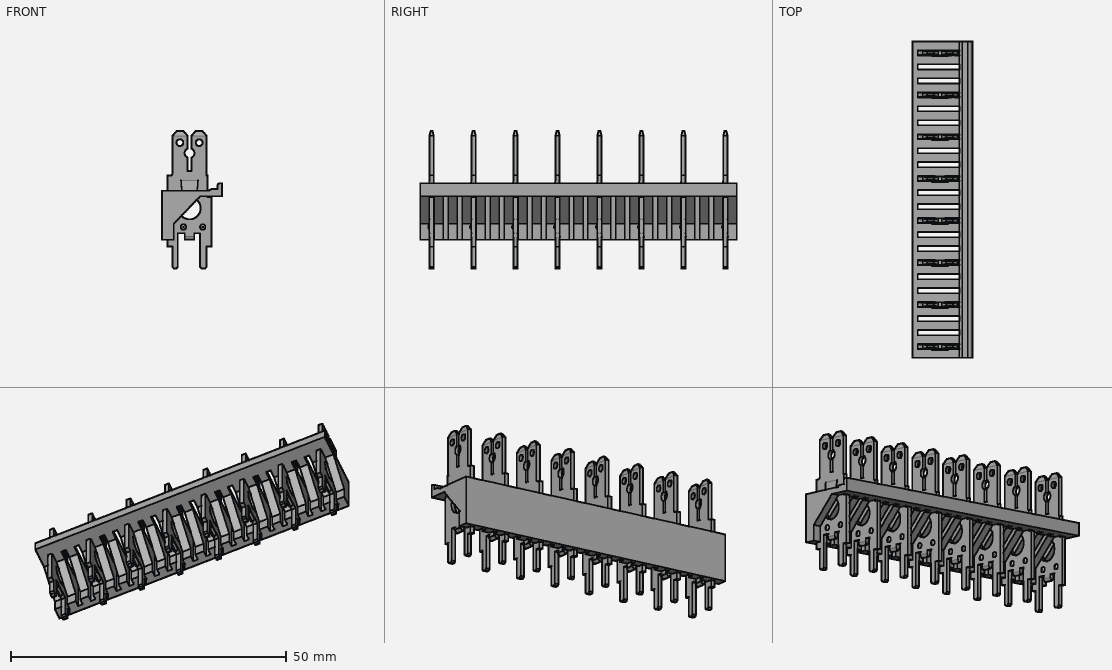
import cadquery as cq
import math


contact_count = 8
slot_pitch = 2.54
slots_per_contact = 3
contact_pitch = slots_per_contact * slot_pitch
slot_count = slots_per_contact * (contact_count - 1) + 1

housing_length = 57.46
housing_left = -5.0
housing_right = 5.9
housing_bottom = 5.2
housing_top = 14.15
back_wall = 1.0
leg_width = 2.1
leg_top = 8.1
flange_bottom = 13.1
web_right = 1.95
slot_width = 0.9
slot_left = housing_left + back_wall
slot_right = 3.5
gutter_left = 4.0
gutter_floor = 14.45
lip_left = 5.05
lip_top = 15.5
lip_radius = 0.5

contact_height = 25.0
contact_thickness = 0.8
body_half_width = 4.0
body_bottom = 4.0
body_top = 12.95
neck_right = 3.3
shoulder_top = 16.9
shoulder_fillet = 0.35
prong_half_width = 3.12
prong_slit = 0.65
slit_bottom = 17.75
slit_hole_diameter = 1.75
slit_hole_z = 20.95
prong_hole_diameter = 1.2
prong_hole_x = 1.75
prong_hole_z = 22.85
tip_height = 0.9
tip_inset = 0.8
tip_bevel = 0.22
window_diameter = 4.0
window_z = 10.95

pin_gap_left = -2.1
pin_gap_right = 1.9
pin_gap_top = 6.4
pin_chamfer = 0.3
foot_half_width = 0.9
foot_bend_z = 5.88
foot_bend_angle = math.radians(50)
foot_end_length = 0.1
bump_places = [(-1.1, 7.55), (2.4, 7.55)]
bump_radius = 0.5
bump_tip_radius = 0.05
bump_height = 0.25

barb_top = 16.05
barb_top_half_width = 1.55
barb_bottom_half_width = 1.4
barb_projection = 0.25


def make_housing():
    """Long profile with a back leg, sloped webs and a lipped flange, slotted through in Z."""
    profile = (
        cq.Workplane("XZ")
        .moveTo(housing_left, housing_bottom)
        .lineTo(housing_left, housing_top)
        .lineTo(slot_right, housing_top)
        .lineTo(gutter_left, gutter_floor)
        .lineTo(lip_left, gutter_floor)
        .lineTo(lip_left, lip_top - lip_radius)
        .radiusArc((lip_left + lip_radius, lip_top), lip_radius)
        .lineTo(housing_right, lip_top)
        .lineTo(housing_right, flange_bottom)
        .lineTo(web_right, flange_bottom)
        .lineTo(housing_left + leg_width, leg_top)
        .lineTo(housing_left + leg_width, housing_bottom)
        .close()
        .extrude(housing_length / 2, both=True)
    )
    slots = (
        cq.Workplane("XY", origin=((slot_left + slot_right) / 2, 0, 0))
        .rarray(1, slot_pitch, 1, slot_count)
        .rect(slot_right - slot_left, slot_width)
        .extrude(contact_height)
    )
    return profile.cut(slots)


def contact_plate():
    """Flat blank: two pins below, a wide body, and two pointed prongs above."""
    slit_half = prong_slit / 2
    tip_base = contact_height - tip_height
    return (
        cq.Workplane("XZ")
        .moveTo(-prong_half_width + pin_chamfer, 0)
        .lineTo(-prong_half_width, pin_chamfer)
        .lineTo(-prong_half_width, body_bottom)
        .lineTo(-body_half_width, body_bottom)
        .lineTo(-body_half_width, shoulder_top)
        .lineTo(-prong_half_width - shoulder_fillet, shoulder_top)
        .radiusArc((-prong_half_width, shoulder_top + shoulder_fillet), -shoulder_fillet)
        .lineTo(-prong_half_width, tip_base)
        .lineTo(-prong_half_width + tip_inset, contact_height)
        .lineTo(-slit_half - tip_inset, contact_height)
        .lineTo(-slit_half, tip_base)
        .lineTo(-slit_half, slit_bottom)
        .lineTo(slit_half, slit_bottom)
        .lineTo(slit_half, tip_base)
        .lineTo(slit_half + tip_inset, contact_height)
        .lineTo(prong_half_width - tip_inset, contact_height)
        .lineTo(prong_half_width, tip_base)
        .lineTo(prong_half_width, shoulder_top)
        .lineTo(neck_right, shoulder_top)
        .lineTo(neck_right, body_top)
        .lineTo(body_half_width, body_top)
        .lineTo(body_half_width, body_bottom)
        .lineTo(prong_half_width, body_bottom)
        .lineTo(prong_half_width, pin_chamfer)
        .lineTo(prong_half_width - pin_chamfer, 0)
        .lineTo(pin_gap_right + pin_chamfer, 0)
        .lineTo(pin_gap_right, pin_chamfer)
        .lineTo(pin_gap_right, pin_gap_top)
        .lineTo(pin_gap_left, pin_gap_top)
        .lineTo(pin_gap_left, pin_chamfer)
        .lineTo(pin_gap_left - pin_chamfer, 0)
        .close()
        .extrude(contact_thickness / 2, both=True)
    )


def contact_holes():
    """Round window in the body, round widening of the slit, and one hole in each prong."""
    circles = [
        (0, window_z, window_diameter),
        (0, slit_hole_z, slit_hole_diameter),
        (-prong_hole_x, prong_hole_z, prong_hole_diameter),
        (prong_hole_x, prong_hole_z, prong_hole_diameter),
    ]
    holes = cq.Workplane("XZ")
    for x, z, diameter in circles:
        hole = cq.Workplane("XZ").center(x, z).circle(diameter / 2)
        holes = holes.add(hole.extrude(contact_thickness, both=True))
    return holes.combine()


def tip_bevels():
    """Wedges that thin the prong tips from both faces."""
    half = contact_thickness / 2
    wedge = (
        cq.Workplane("YZ")
        .moveTo(half, contact_height - tip_height)
        .lineTo(half, contact_height)
        .lineTo(half - tip_bevel, contact_height)
        .close()
        .extrude(prong_half_width, both=True)
    )
    return wedge.add(wedge.mirror("XZ")).combine()


def latch_barb():
    """Tapered tongue that leans out of the front face and rests on the housing top."""
    front = -contact_thickness / 2
    wedge = (
        cq.Workplane("YZ")
        .moveTo(0, barb_top)
        .lineTo(front, barb_top)
        .lineTo(front - barb_projection, housing_top)
        .lineTo(0, housing_top)
        .close()
        .extrude(barb_top_half_width, both=True)
    )
    outline = (
        cq.Workplane("XZ")
        .moveTo(-barb_top_half_width, barb_top)
        .lineTo(barb_top_half_width, barb_top)
        .lineTo(barb_bottom_half_width, housing_top)
        .lineTo(-barb_bottom_half_width, housing_top)
        .close()
        .extrude(contact_thickness, both=True)
    )
    return wedge.intersect(outline)


def bent_foot():
    """Short tab between the pins, bent towards +Y about its rear edge at the lower end."""
    front = -contact_thickness / 2
    back = contact_thickness / 2

    def bent_point(radius, angle, run):
        """Point at a radius from the rear edge, turned by an angle, then run on past the bend."""
        return (
            back - radius * math.cos(angle) + run * math.sin(angle),
            foot_bend_z - radius * math.sin(angle) - run * math.cos(angle),
        )

    return (
        cq.Workplane("YZ")
        .moveTo(front, pin_gap_top)
        .lineTo(front, foot_bend_z)
        .threePointArc(
            bent_point(contact_thickness, foot_bend_angle / 2, 0),
            bent_point(contact_thickness, foot_bend_angle, 0),
        )
        .lineTo(*bent_point(contact_thickness, foot_bend_angle, foot_end_length))
        .lineTo(*bent_point(0, foot_bend_angle, foot_end_length))
        .lineTo(back, foot_bend_z)
        .lineTo(back, pin_gap_top)
        .close()
        .extrude(foot_half_width, both=True)
    )


def make_contact():
    contact = contact_plate().cut(contact_holes()).cut(tip_bevels())
    contact = contact.union(latch_barb()).union(bent_foot())
    for x, z in bump_places:
        base = cq.Vector(x, -contact_thickness / 2, z)
        bump = cq.Solid.makeCone(bump_radius, bump_tip_radius, bump_height, base, cq.Vector(0, -1, 0))
        contact = contact.union(bump)
    return contact


housing = make_housing()
contact = make_contact()
contacts = cq.Workplane("XY")
for index in range(contact_count):
    y = (index - (contact_count - 1) / 2) * contact_pitch
    contacts = contacts.add(contact.translate((0, y, 0)))

result = cq.Compound.makeCompound([housing.val(), *contacts.vals()])